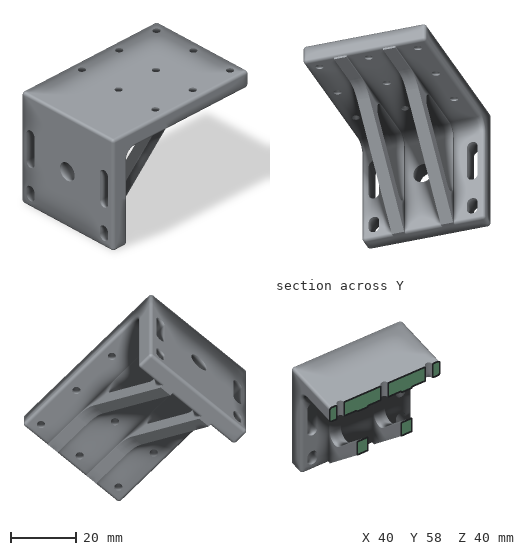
import cadquery as cq
import math

width = 40.0
length = 58.0
height = 40.0
plate_thickness = 6.0
edge_round = 1.0
inner_corner_radius = 3.5

rib_thickness = 4.0
rib_outer_spacing = 19.95
rib_strip_height = 0.5
rib_end_gap = 0.5
rib_root_radius = 10.0
brace_angle = math.radians(45)
brace_width = 4.0
window_corner_radius = inner_corner_radius - rib_strip_height

grid_columns = 3
grid_rows = 3
grid_pitch = 16.0
grid_hole_diameter = 2.5
grid_rear_margin = 4.0

center_hole_diameter = 6.4
slot_width = 3.4
slot_offset = 16.0
long_slot_travel = 10.0
long_slot_height = 21.0
short_slot_travel = 2.0
short_slot_height = 5.0


def make_plates():
    """Both plates as one L-shaped body with every outer edge rounded."""
    inner_z = height - plate_thickness
    corner_mid = inner_corner_radius * (1 - math.sqrt(0.5))
    body = (
        cq.Workplane("YZ")
        .moveTo(0, 0)
        .lineTo(plate_thickness, 0)
        .lineTo(plate_thickness, inner_z - inner_corner_radius)
        .threePointArc(
            (plate_thickness + corner_mid, inner_z - corner_mid),
            (plate_thickness + inner_corner_radius, inner_z),
        )
        .lineTo(length, inner_z)
        .lineTo(length, height)
        .lineTo(0, height)
        .close()
        .extrude(width / 2, both=True)
    )
    return body.faces("|X or <Y or >Y or <Z or >Z").edges().fillet(edge_round)


def make_rib(start_x):
    """One rib that starts at start_x and extends rib_thickness in +X."""
    near_y = plate_thickness + rib_strip_height
    under_z = height - plate_thickness - rib_strip_height
    overlap = plate_thickness / 2

    brace_top_y = near_y + under_z
    half_turn = brace_angle / 2
    root_tangent = rib_root_radius * math.tan(half_turn)
    root_start_y = brace_top_y - root_tangent * math.cos(brace_angle)
    root_start_z = under_z - root_tangent * math.sin(brace_angle)
    root_end_y = brace_top_y + root_tangent
    root_mid = (
        root_end_y - rib_root_radius * math.sin(half_turn),
        under_z - rib_root_radius * (1 - math.cos(half_turn)),
    )
    frame = (
        cq.Workplane("YZ", origin=(start_x, 0, 0))
        .moveTo(overlap, edge_round)
        .lineTo(plate_thickness - edge_round, 0)
        .lineTo(near_y, 0)
        .lineTo(root_start_y, root_start_z)
        .threePointArc(root_mid, (root_end_y, under_z))
        .lineTo(length - rib_end_gap, under_z)
        .lineTo(length - rib_end_gap, height - overlap)
        .lineTo(overlap, height - overlap)
        .close()
        .extrude(rib_thickness)
    )

    window_side = under_z - brace_width / math.cos(brace_angle)
    window = (
        cq.Workplane("YZ", origin=(start_x, 0, 0))
        .moveTo(near_y, under_z)
        .lineTo(near_y + window_side, under_z)
        .lineTo(near_y, under_z - window_side)
        .close()
        .extrude(rib_thickness)
        .edges("|X")
        .fillet(window_corner_radius)
    )
    return frame.cut(window)


def make_grid_holes():
    """Cutters for the hole grid in the top plate."""
    middle_y = length - grid_rear_margin - grid_pitch * (grid_rows - 1) / 2
    return (
        cq.Workplane("XY", origin=(0, middle_y, 0))
        .rarray(grid_pitch, grid_pitch, grid_columns, grid_rows)
        .circle(grid_hole_diameter / 2)
        .extrude(height)
    )


def make_front_openings():
    """Cutters for the centre hole and the two pairs of slots in the front plate."""
    depth = plate_thickness + rib_strip_height
    front = cq.Workplane("XZ")
    cutters = front.center(0, height / 2).circle(center_hole_diameter / 2).extrude(-depth)
    for travel, slot_z in (
        (long_slot_travel, long_slot_height),
        (short_slot_travel, short_slot_height),
    ):
        slots = (
            front.pushPoints([(-slot_offset, slot_z), (slot_offset, slot_z)])
            .slot2D(travel + slot_width, slot_width, 90)
            .extrude(-depth)
        )
        cutters = cutters.union(slots)
    return cutters


left_rib_x = -rib_outer_spacing / 2
right_rib_x = rib_outer_spacing / 2 - rib_thickness

result = make_plates()
for rib_x in (left_rib_x, right_rib_x):
    result = result.union(make_rib(rib_x))
result = result.cut(make_grid_holes()).cut(make_front_openings())